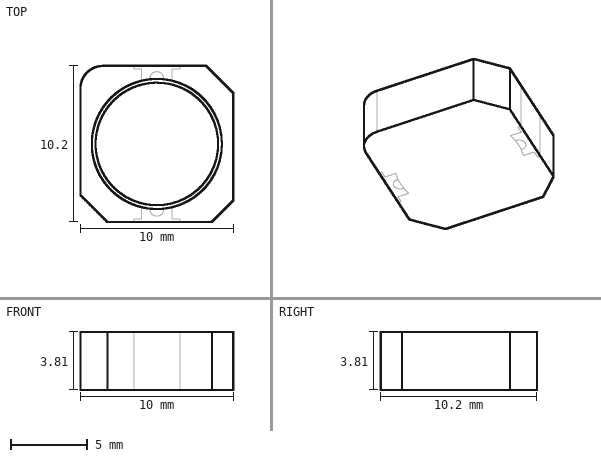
import cadquery as cq

length_x = 10.0
length_y = 10.21
height = 3.81
large_chamfer = 1.78
small_chamfer = 1.41
corner_radius = 1.49

core_radius = 4.0
groove_outer_radius = 4.25
groove_floor_thickness = 0.51

terminal_width = 3.0
terminal_neck_width = 2.01
terminal_flange_depth = 0.2
wire_radius = 0.45
wire_edge_distance = 0.84

half_x = length_x / 2
half_y = length_y / 2


def make_housing():
    block = cq.Workplane("XY").box(length_x, length_y, height, centered=(True, True, False))
    block = block.edges("|Z and <X and >Y").fillet(corner_radius)
    block = block.edges("|Z and (>(1,1,0) or <(1,1,0))").chamfer(large_chamfer)
    return block.edges("|Z and >(1,-1,0)").chamfer(small_chamfer)


def make_terminal(side):
    """T-shaped prism whose flange lies flush in the side face; side is -1 or +1 along Y."""
    half_flange = terminal_width / 2
    half_neck = terminal_neck_width / 2
    outer_y = side * half_y
    flange_y = side * (half_y - terminal_flange_depth)
    neck_end_y = side * core_radius
    return (
        cq.Workplane("XY")
        .moveTo(-half_flange, outer_y)
        .lineTo(half_flange, outer_y)
        .lineTo(half_flange, flange_y)
        .lineTo(half_neck, flange_y)
        .lineTo(half_neck, neck_end_y)
        .lineTo(-half_neck, neck_end_y)
        .lineTo(-half_neck, flange_y)
        .lineTo(-half_flange, flange_y)
        .close()
        .extrude(height)
    )


def make_wire(side):
    wire_y = side * (half_y - wire_edge_distance)
    return cq.Workplane("XY").center(0, wire_y).circle(wire_radius).extrude(height)


def make_cylinder(radius):
    return cq.Workplane("XY").circle(radius).extrude(height)


result = make_housing()
bore = make_cylinder(groove_outer_radius)
for side in (-1, 1):
    wire = make_wire(side).cut(bore)
    terminal = make_terminal(side).cut(bore).cut(wire)
    result = result.cut(terminal, clean=False).cut(wire, clean=False)
    result = result.union(terminal, clean=False).union(wire, clean=False)

groove = bore.cut(make_cylinder(core_radius)).translate((0, 0, groove_floor_thickness))
result = result.cut(groove, clean=False)